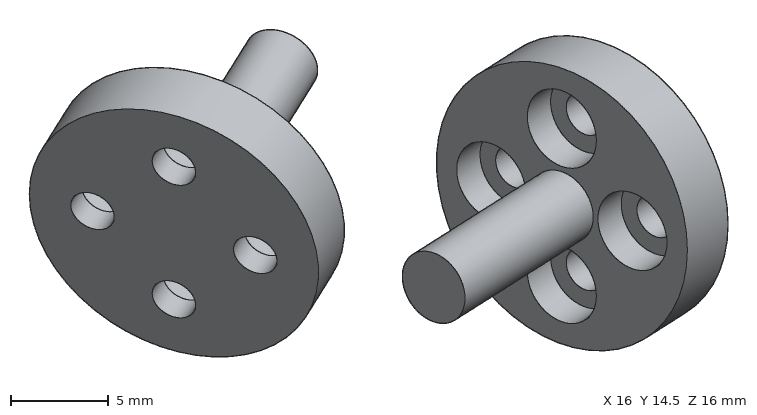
import cadquery as cq

flange_diameter = 16.0
flange_thickness = 3.5
shaft_diameter = 4.0
overall_length = 14.5
hole_diameter = 2.4
counterbore_diameter = 4.4
counterbore_depth = 2.0
hole_circle_diameter = 9.0
hole_count = 4

shaft_length = overall_length - flange_thickness
counterbore_floor = flange_thickness - counterbore_depth


def workplane_at(y):
    """Workplane at the given Y, centred on the axis, with +Y as its normal and -X as its local X."""
    return cq.Workplane(cq.Plane(origin=(0, y, 0), xDir=(-1, 0, 0), normal=(0, 1, 0)))


def make_flange():
    """Round disc whose front face lies at Y = 0."""
    return workplane_at(0).circle(flange_diameter / 2).extrude(flange_thickness)


def make_shaft():
    """Plain shaft standing on the back face of the flange."""
    return workplane_at(flange_thickness).circle(shaft_diameter / 2).extrude(shaft_length)


def make_hole_cutters(diameter, start_y):
    """Cylinders on the hole circle, running from start_y to the back face of the flange."""
    return (
        workplane_at(start_y)
        .polarArray(hole_circle_diameter / 2, 0, 360, hole_count, rotate=False)
        .circle(diameter / 2)
        .extrude(flange_thickness - start_y)
    )


screw_holes = make_hole_cutters(hole_diameter, 0)
counterbores = make_hole_cutters(counterbore_diameter, counterbore_floor)

flange = make_flange().cut(screw_holes).cut(counterbores)
result = flange.union(make_shaft())